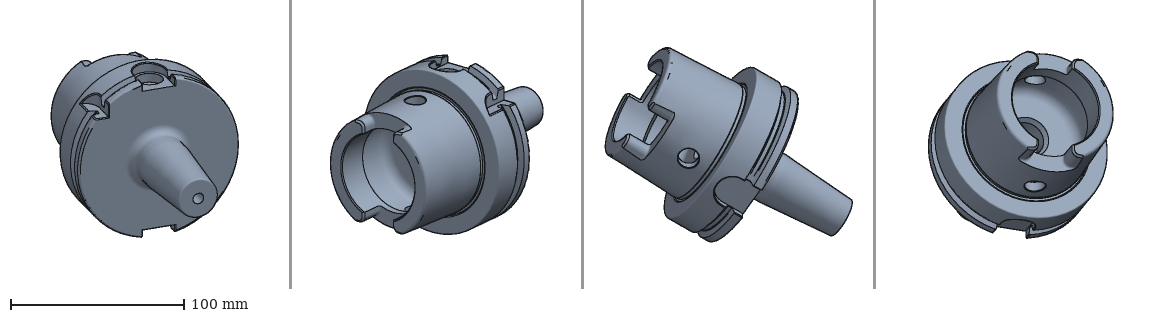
import cadquery as cq
import math


total_length = 140.0
taper_length = 50.0
flange_length = 29.0
neck_end = 42.7
tip_end = total_length - taper_length
rim = -taper_length

taper_rim_diameter = 71.4
taper_diameter = 75.5
taper_end = -2.5
rim_fillet = 2.0
undercut_diameter = 74.6
taper_land = 0.5
undercut_chamfer = 0.4
face_recess_diameter = 78.8
face_recess_depth = 0.4
face_recess_slope = 0.7

flange_diameter = 100.0
flange_front_fillet = 0.8
flange_back_fillet = 1.3
groove_start = 16.8
groove_width = 6.3
groove_floor_width = 3.2
groove_floor_diameter = 92.1
groove_fillet = 0.5

neck_diameter = 31.4
neck_fillet = 5.0
tip_diameter = 24.2
tip_fillet = 1.0

mouth_diameter = 54.5
bore_diameter = 53.0
mouth_chamfer = 0.7
bore_length = 19.6
cavity_diameter = 63.0
cavity_entry_length = 2.8
cavity_floor_diameter = 49.7
cavity_floor = -3.1
seat_outer_diameter = 25.2
seat_diameter = 21.0
seat_chamfer_length = 2.8
seat_length = 14.0
coolant_diameter = 6.6

slot_width = 20.6
slot_flare_radius = 4.2
slot_shoulder_height = 31.5
slot_floor_fillet = 1.5
slot_rim_chamfer = 1.3
top_slot_depth = 10.0
bottom_slot_depth = 15.0

cross_hole_diameter = 12.0
cross_hole_x = -15.0
cross_hole_chamfer = 0.4

keyway_width = 20.0
keyway_floor_height = 44.0
keyway_center_x = 14.7
recess_edge_chamfer = 0.5
data_hole_diameter = 16.0
data_hole_depth = 5.6
notch_offset = 31.1
notch_end_radius = 9.8


def turned_body():
    """Taper, flange and nose turned as one solid bar."""
    flange_radius = flange_diameter / 2
    land_end = taper_end + taper_land
    undercut_radius = undercut_diameter / 2
    neck_radius = neck_diameter / 2
    tip_radius = tip_diameter / 2
    diagonal = math.sqrt(0.5)
    front_fillet_point = (
        flange_front_fillet * (1 - diagonal),
        flange_radius - flange_front_fillet * (1 - diagonal),
    )
    back_fillet_point = (
        flange_length - flange_back_fillet * (1 - diagonal),
        flange_radius - flange_back_fillet * (1 - diagonal),
    )
    neck_fillet_point = (
        flange_length + neck_fillet * (1 - diagonal),
        neck_radius + neck_fillet * (1 - diagonal),
    )
    tip_fillet_point = (
        tip_end - tip_fillet * (1 - diagonal),
        tip_radius - tip_fillet * (1 - diagonal),
    )
    return (
        cq.Workplane("XY")
        .moveTo(rim, 0)
        .lineTo(rim, taper_rim_diameter / 2)
        .lineTo(taper_end, taper_diameter / 2)
        .lineTo(land_end, taper_diameter / 2)
        .lineTo(land_end + undercut_chamfer, undercut_radius)
        .lineTo(face_recess_depth, undercut_radius)
        .lineTo(face_recess_depth, face_recess_diameter / 2 - face_recess_slope)
        .lineTo(0, face_recess_diameter / 2)
        .lineTo(0, flange_radius - flange_front_fillet)
        .threePointArc(front_fillet_point, (flange_front_fillet, flange_radius))
        .lineTo(flange_length - flange_back_fillet, flange_radius)
        .threePointArc(back_fillet_point, (flange_length, flange_radius - flange_back_fillet))
        .lineTo(flange_length, neck_radius + neck_fillet)
        .threePointArc(neck_fillet_point, (flange_length + neck_fillet, neck_radius))
        .lineTo(neck_end, neck_radius)
        .lineTo(tip_end - tip_fillet, tip_radius)
        .threePointArc(tip_fillet_point, (tip_end, tip_radius - tip_fillet))
        .lineTo(tip_end, 0)
        .close()
        .revolve(360, (0, 0, 0), (1, 0, 0))
    )


def gripper_groove():
    """Ring cutter for the V-shaped groove, rounded at its floor."""
    flange_radius = flange_diameter / 2
    floor_radius = groove_floor_diameter / 2
    side = (groove_width - groove_floor_width) / 2
    groove_end = groove_start + groove_width
    ring = (
        cq.Workplane("XY")
        .moveTo(groove_start, flange_radius)
        .lineTo(groove_start + side, floor_radius)
        .lineTo(groove_end - side, floor_radius)
        .lineTo(groove_end, flange_radius)
        .close()
        .revolve(360, (0, 0, 0), (1, 0, 0))
    )
    return ring.edges(cq.selectors.RadiusNthSelector(0)).fillet(groove_fillet)


def drive_slot(depth):
    """Cutter for the +Z drive slot, flaring outwards near the taper surface."""
    half_width = slot_width / 2
    shoulder = half_width + slot_flare_radius
    flare_start = slot_shoulder_height - slot_flare_radius
    outside = flange_diameter / 2
    cutter = (
        cq.Workplane("YZ", origin=(rim, 0, 0))
        .moveTo(-half_width, 0)
        .lineTo(half_width, 0)
        .lineTo(half_width, flare_start)
        .radiusArc((shoulder, slot_shoulder_height), slot_flare_radius)
        .lineTo(outside, slot_shoulder_height)
        .lineTo(outside, outside)
        .lineTo(-outside, outside)
        .lineTo(-outside, slot_shoulder_height)
        .lineTo(-shoulder, slot_shoulder_height)
        .radiusArc((-half_width, flare_start), slot_flare_radius)
        .close()
        .extrude(depth)
    )
    return cutter.faces(">X").edges().fillet(slot_floor_fillet)


def cavity():
    """Clamping bore, its wider chamber, the coolant seat and the coolant channel."""
    floor_fillet = (cavity_diameter - cavity_floor_diameter) / 2
    bore_end = rim + bore_length
    return (
        cq.Workplane("XY")
        .moveTo(rim, 0)
        .lineTo(rim, mouth_diameter / 2)
        .lineTo(rim + mouth_chamfer, bore_diameter / 2)
        .lineTo(bore_end, bore_diameter / 2)
        .lineTo(bore_end + cavity_entry_length, cavity_diameter / 2)
        .lineTo(cavity_floor - floor_fillet, cavity_diameter / 2)
        .radiusArc((cavity_floor, cavity_floor_diameter / 2), floor_fillet)
        .lineTo(cavity_floor, seat_outer_diameter / 2)
        .lineTo(cavity_floor + seat_chamfer_length, seat_diameter / 2)
        .lineTo(cavity_floor + seat_length, seat_diameter / 2)
        .lineTo(cavity_floor + seat_length, coolant_diameter / 2)
        .lineTo(tip_end, coolant_diameter / 2)
        .lineTo(tip_end, 0)
        .close()
        .revolve(360, (0, 0, 0), (1, 0, 0))
    )


def cross_hole():
    """Cutter for the radial hole through both taper walls."""
    return (
        cq.Workplane("XY", origin=(cross_hole_x, 0, 0))
        .circle(cross_hole_diameter / 2)
        .extrude(flange_diameter / 2, both=True)
    )


def keyway():
    """Cutter for the +Z keyway: flat floor, round front end, open at the back of the flange."""
    half_width = keyway_width / 2
    return (
        cq.Workplane("XY", origin=(0, 0, keyway_floor_height))
        .moveTo(flange_length, -half_width)
        .lineTo(flange_length, half_width)
        .lineTo(keyway_center_x, half_width)
        .threePointArc((keyway_center_x - half_width, 0), (keyway_center_x, -half_width))
        .close()
        .extrude(flange_diameter / 2 - keyway_floor_height)
    )


def data_hole():
    """Cutter for the blind hole in the +Z keyway floor."""
    return (
        cq.Workplane("XY", origin=(keyway_center_x, 0, keyway_floor_height))
        .circle(data_hole_diameter / 2)
        .extrude(-data_hole_depth)
    )


def orientation_notch():
    """Cutter for the corner notch between -Y and +Z with a round front end."""
    outside = flange_diameter / 2
    arc_center_y = -notch_offset - notch_end_radius
    diagonal_reach = notch_end_radius * math.sqrt(0.5)
    return (
        cq.Workplane("XY", origin=(0, 0, notch_offset))
        .moveTo(flange_length, -notch_offset)
        .lineTo(keyway_center_x, -notch_offset)
        .threePointArc(
            (keyway_center_x - diagonal_reach, arc_center_y + diagonal_reach),
            (keyway_center_x - notch_end_radius, arc_center_y),
        )
        .lineTo(keyway_center_x - notch_end_radius, -outside)
        .lineTo(flange_length, -outside)
        .close()
        .extrude(outside)
    )


def opposite(cutter):
    """The same cutter turned to the -Z side."""
    return cutter.rotate((0, 0, 0), (1, 0, 0), 180)


def chamfer_slot_rim(body):
    """Break the drive slot edges on the rim face, leaving the outer rim edge sharp."""
    outer_rim = cq.selectors.RadiusNthSelector(-1)
    slot_edges = cq.selectors.InverseSelector(outer_rim)
    return body.faces("<X").edges(slot_edges).chamfer(slot_rim_chamfer)


def fillet_outer_rim(body):
    """Round the outer edge of the rim face."""
    return body.faces("<X").edges(cq.selectors.RadiusNthSelector(-1)).fillet(rim_fillet)


def chamfer_cross_hole(body):
    """Break the two mouths of the cross hole on the taper surface."""
    reach = cross_hole_diameter / 4
    corner = (cross_hole_x - reach, -reach, -flange_diameter)
    far_corner = (cross_hole_x + reach, reach, flange_diameter)
    mouths = cq.selectors.BoxSelector(corner, far_corner) - cq.selectors.TypeSelector("CIRCLE")
    mouths = mouths - cq.selectors.TypeSelector("LINE")
    return body.edges(mouths).chamfer(cross_hole_chamfer)


def cut_flange_recess(body, cutter):
    """Cut a recess into the flange and break its edges on the flange surface."""
    box = cutter.val().BoundingBox()
    innermost = flange_diameter / 2 - flange_back_fillet

    def on_flange_surface(edge):
        center = edge.Center()
        inside = box.ymin <= center.y <= box.ymax and box.zmin <= center.z <= box.zmax
        return inside and center.x > 0 and math.hypot(center.y, center.z) > innermost

    return (
        body.cut(cutter)
        .edges()
        .filter(on_flange_surface)
        .chamfer(recess_edge_chamfer)
    )


holder = turned_body()

holder = holder.cut(drive_slot(top_slot_depth))
holder = holder.cut(opposite(drive_slot(bottom_slot_depth)))
holder = chamfer_slot_rim(holder)
holder = fillet_outer_rim(holder)

holder = holder.cut(cross_hole())
holder = chamfer_cross_hole(holder)

holder = cut_flange_recess(holder, keyway())
holder = cut_flange_recess(holder, opposite(keyway()))
holder = cut_flange_recess(holder, orientation_notch())
holder = holder.cut(data_hole())
holder = holder.cut(gripper_groove())

result = holder.cut(cavity())